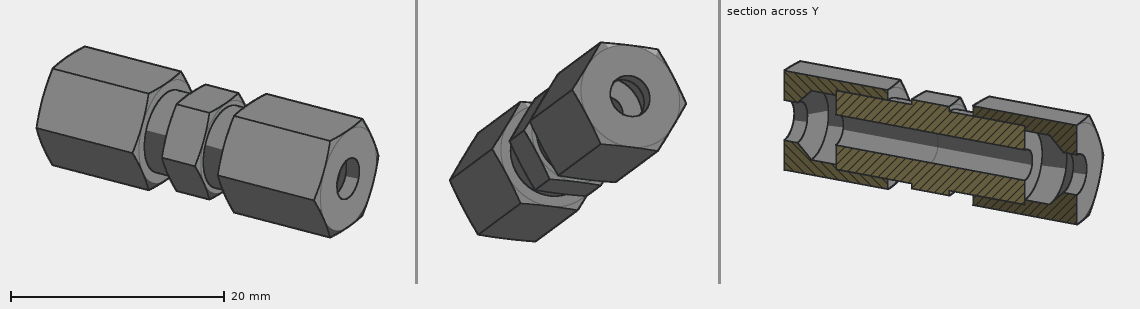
import cadquery as cq
import math

overall_length = 31.0
nut_length = 11.0
nut_flats = 10.0
body_hex_length = 4.0
body_hex_flats = 9.0
corner_chamfer_angle = 15.0

barrel_diameter = 8.0
cavity_diameter = 6.9
tube_diameter = 4.0
through_diameter = 3.0

barrel_length = 20.03
tube_hole_depth = 1.43
seat_half_angle = 45.0

nut_center = (overall_length - nut_length) / 2
nut_inner_end = overall_length / 2 - nut_length
nut_outer_end = overall_length / 2


def revolved(profile):
    """Solid of revolution about the X axis from (x, radius) points."""
    return cq.Workplane("XY").polyline(profile).close().revolve(360, (0, 0, 0), (1, 0, 0))


def hex_bar(flats, length):
    """Hexagonal bar centred on the origin, flats on +Z and -Z, both ends cut to a cone."""
    corner_radius = flats / math.sqrt(3)
    end = length / 2
    bar = cq.Workplane("YZ").polygon(6, 2 * corner_radius).extrude(end, both=True)
    chamfer_length = (corner_radius - flats / 2) * math.tan(math.radians(corner_chamfer_angle))
    envelope = revolved([
        (-end, 0),
        (-end, flats / 2),
        (-end + chamfer_length, corner_radius),
        (end - chamfer_length, corner_radius),
        (end, flats / 2),
        (end, 0),
    ])
    return bar.intersect(envelope)


def body():
    """Centre hexagon on a round barrel, with one plain bore right through."""
    barrel = cq.Workplane("YZ").circle(barrel_diameter / 2).extrude(barrel_length / 2, both=True)
    bore = cq.Workplane("YZ").circle(through_diameter / 2).extrude(barrel_length / 2, both=True)
    return hex_bar(body_hex_flats, body_hex_length).union(barrel).cut(bore)


def nut_hollow():
    """Barrel socket, narrower cavity, conical seat and tube hole of the +X nut."""
    cavity_radius = cavity_diameter / 2
    tube_radius = tube_diameter / 2
    seat_length = (cavity_radius - tube_radius) / math.tan(math.radians(seat_half_angle))
    socket_end = barrel_length / 2
    seat_end = nut_outer_end - tube_hole_depth
    return revolved([
        (nut_inner_end, 0),
        (nut_inner_end, barrel_diameter / 2),
        (socket_end, barrel_diameter / 2),
        (socket_end, cavity_radius),
        (seat_end - seat_length, cavity_radius),
        (seat_end, tube_radius),
        (nut_outer_end, tube_radius),
        (nut_outer_end, 0),
    ])


def union_nut(side):
    """Hexagonal nut at the -X (side = -1) or +X (side = 1) end, socket toward the centre."""
    blank = hex_bar(nut_flats, nut_length).translate((nut_center, 0, 0))
    right_nut = blank.cut(nut_hollow())
    return right_nut if side > 0 else right_nut.mirror("YZ")


fitting_body = body()
union_nuts = [union_nut(side) for side in (-1, 1)]

result = cq.Compound.makeCompound([fitting_body.val(), *[nut.val() for nut in union_nuts]])